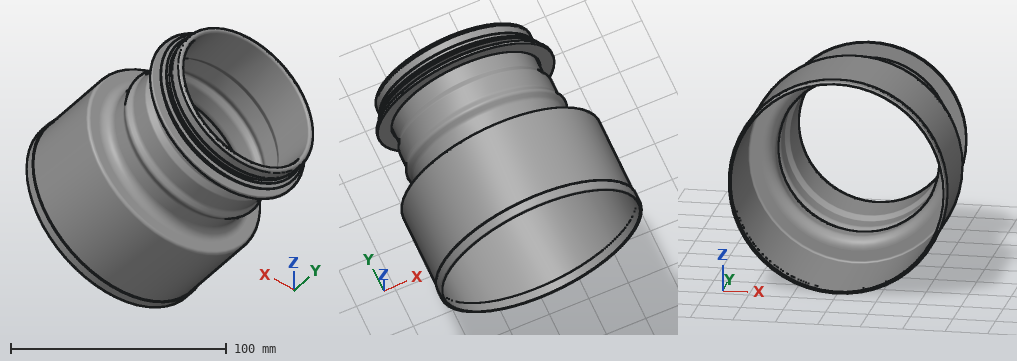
import cadquery as cq
import math

length = 101.0
wall = 0.5

rim_radius = 102.3 / 2
socket_radius = 101.2 / 2
neck_radius = 78.0 / 2
groove_radius = 74.2 / 2
bead_apex_radius = neck_radius + 1.8
nose_radius = 79.1 / 2

rim_height = 4.9
shoulder_y = 46.5
bead_y = 62.1
bead_half_base = 3.3
cone_start_y = 74.7
cone_end_y = 77.7
skirt_y = length - 5.9

rim_round = 0.4
shoulder_bend = 1.0
neck_bend = 5.6
bead_foot_bend = 3.7
bead_crest_bend = 1.6
cone_groove_bend = 1.5
cone_neck_bend = 1.0
bore_end_bend = 1.2
nose_bend = 1.5

gasket_inner_radius = 75.5 / 2
gasket_outer_radius = nose_radius - wall
gasket_end_y = length - nose_bend
flange_radius = 89.5 / 2
flange_y = 85.6
flange_thickness = 1.7
flange_round = 0.5
lips = [
    (84.5 / 2, 90.5, 1.2),
    (80.8 / 2, 92.3, 0.8),
]
lip_tip_thickness = 0.5


def unit(start, end):
    """Unit vector from start to end."""
    size = math.dist(start, end)
    return (end[0] - start[0]) / size, (end[1] - start[1]) / size


def bend_arc(before, corner, after, radius):
    """Start, middle and end of the arc that rounds a corner."""
    back = unit(corner, before)
    ahead = unit(corner, after)
    half_angle = math.acos(back[0] * ahead[0] + back[1] * ahead[1]) / 2
    tangent = radius / math.tan(half_angle)
    to_middle = radius / math.sin(half_angle) - radius
    inward = unit((0, 0), (back[0] + ahead[0], back[1] + ahead[1]))
    return [
        (corner[0] + tangent * back[0], corner[1] + tangent * back[1]),
        (corner[0] + to_middle * inward[0], corner[1] + to_middle * inward[1]),
        (corner[0] + tangent * ahead[0], corner[1] + tangent * ahead[1]),
    ]


def offset_path(points, bends, distance):
    """Shift an open path to its right by distance, keeping its bends concentric."""
    last = len(points) - 1
    shifted = []
    shifted_bends = []
    for i, (x, y) in enumerate(points):
        inbound = unit(points[max(i - 1, 0)], points[max(i, 1)])
        outbound = unit(points[min(i, last - 1)], points[min(i + 1, last)])
        cross = inbound[0] * outbound[1] - inbound[1] * outbound[0]
        scale = distance / (1 + inbound[0] * outbound[0] + inbound[1] * outbound[1])
        shifted.append((x + scale * (inbound[1] + outbound[1]), y - scale * (inbound[0] + outbound[0])))
        shifted_bends.append(bends[i] + math.copysign(distance, cross) if bends[i] else 0)
    return shifted, shifted_bends


def trace(sketch, points, bends):
    """Continue the sketch along a path with rounded corners, up to its last point."""
    for i in range(1, len(points) - 1):
        start, middle, end = bend_arc(points[i - 1], points[i], points[i + 1], bends[i])
        sketch = sketch.lineTo(*start).threePointArc(middle, end)
    return sketch.lineTo(*points[-1])


def revolve(sketch):
    """Full turn of a closed profile about the Y axis."""
    return sketch.close().revolve(360, (0, 0, 0), (0, 1, 0))


def make_shell():
    """Sheet of constant thickness, followed along its bore and back over the folded nose."""
    socket_bore = socket_radius - wall
    neck_bore = neck_radius - wall
    groove_bore = groove_radius - wall
    bead_apex_bore = bead_apex_radius - wall
    path = [
        (socket_bore, 0, 0),
        (socket_bore, shoulder_y - wall, shoulder_bend),
        (neck_bore, shoulder_y - wall, neck_bend),
        (neck_bore, bead_y - bead_half_base, bead_foot_bend),
        (bead_apex_bore, bead_y, bead_crest_bend),
        (neck_bore, bead_y + bead_half_base, bead_foot_bend),
        (neck_bore, cone_start_y, cone_neck_bend),
        (groove_bore, cone_end_y, cone_groove_bend),
        (groove_bore, length, bore_end_bend),
        (nose_radius, length, nose_bend),
        (nose_radius, skirt_y, 0),
    ]
    points = [(radius, y) for radius, y, bend in path]
    bends = [bend for radius, y, bend in path]
    outer_points, outer_bends = offset_path(points, bends, wall)
    sketch = trace(cq.Workplane("XY").moveTo(*points[0]), points, bends)
    sketch = sketch.lineTo(*outer_points[-1])
    return revolve(trace(sketch, outer_points[::-1], outer_bends[::-1]))


def make_rim():
    """Thickened band around the wide mouth."""
    band = cq.Workplane("XY").moveTo(socket_radius - wall, 0).lineTo(rim_radius, 0)
    band = revolve(band.lineTo(rim_radius, rim_height).lineTo(socket_radius - wall, rim_height))
    outer_edge = cq.selectors.RadiusNthSelector(-1)
    return band.faces("<Y").edges(outer_edge).fillet(rim_round)


def make_reducer():
    return make_shell().union(make_rim())


def make_ring(outer_radius, start_y, end_y):
    profile = [
        (gasket_inner_radius, start_y),
        (outer_radius, start_y),
        (outer_radius, end_y),
        (gasket_inner_radius, end_y),
    ]
    return revolve(cq.Workplane("XY").polyline(profile))


def make_lip(tip_radius, y, root_thickness):
    """Sealing lip that thins towards its tip."""
    profile = [
        (gasket_inner_radius, y - root_thickness / 2),
        (gasket_outer_radius, y - root_thickness / 2),
        (tip_radius, y - lip_tip_thickness / 2),
        (tip_radius, y + lip_tip_thickness / 2),
        (gasket_outer_radius, y + root_thickness / 2),
        (gasket_inner_radius, y + root_thickness / 2),
    ]
    return revolve(cq.Workplane("XY").polyline(profile))


def make_gasket():
    """Rubber sleeve held under the nose, with a stop flange and sealing lips."""
    flange = make_ring(flange_radius, flange_y, flange_y + flange_thickness)
    flange = flange.faces(">Y").edges(cq.selectors.RadiusNthSelector(-1)).fillet(flange_round)
    sleeve = make_ring(gasket_outer_radius, flange_y, gasket_end_y)
    gasket = sleeve.union(flange)
    for tip_radius, y, root_thickness in lips:
        gasket = gasket.union(make_lip(tip_radius, y, root_thickness))
    return gasket


reducer = make_reducer()
gasket = make_gasket()
result = cq.Compound.makeCompound([reducer.val(), gasket.val()])